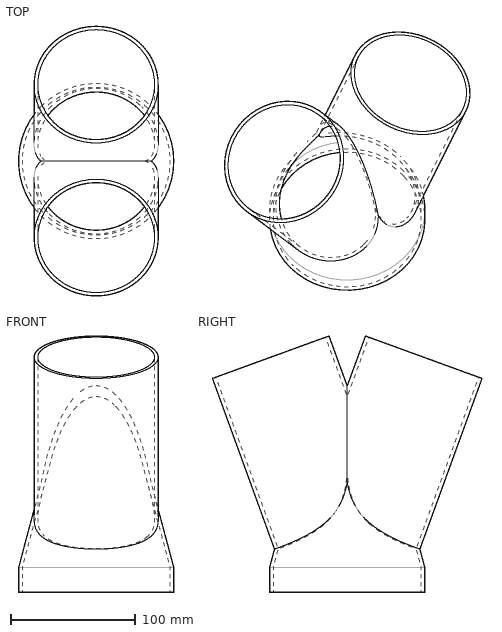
import cadquery as cq
import math

wall = 3.0
collar_diameter = 125.0
collar_height = 20.0
branch_diameter = 100.0
branch_length = 180.0
branch_tilt = 20.0
hub_taper = 15.0
hub_height = 80.0


def hub_and_collar(radius):
    """Solid of revolution: a straight collar below a tapering hub."""
    top_radius = radius - hub_height * math.tan(math.radians(hub_taper))
    hub_top = collar_height + hub_height
    return (
        cq.Workplane("XZ")
        .moveTo(0, 0)
        .lineTo(radius, 0)
        .lineTo(radius, collar_height)
        .lineTo(top_radius, hub_top)
        .lineTo(0, hub_top)
        .close()
        .revolve(360, (0, 0, 0), (0, 1, 0))
    )


def branch(radius, side):
    """Tilted cylinder leaning towards +Y (side = 1) or -Y (side = -1)."""
    tilt = math.radians(branch_tilt)
    start = cq.Vector(0, 0, collar_height)
    axis = cq.Vector(0, side * math.sin(tilt), math.cos(tilt))
    return cq.Workplane(cq.Solid.makeCylinder(radius, branch_length, start, axis))


def junction(inset):
    """Filled junction with every round surface moved inwards by inset."""
    body = hub_and_collar(collar_diameter / 2 - inset)
    for side in (1, -1):
        body = body.union(branch(branch_diameter / 2 - inset, side))
    return body


outside = junction(0)
cavity = junction(wall)
result = outside.cut(cavity)